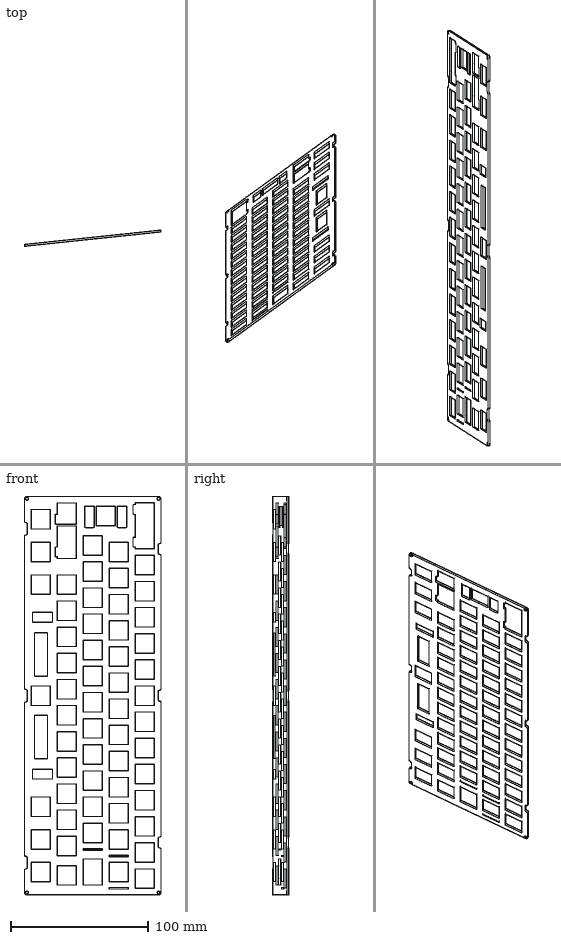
import cadquery as cq
import math

PLATE_WIDTH = 100.0
PLATE_LENGTH = 290.5
PLATE_THICKNESS = 1.5
TILT_ANGLE = 6.0
CORNER_RADIUS = 2.0
CORNER_HOLE_DIAMETER = 2.1
CORNER_HOLE_INSET = 1.75

KEY_PITCH = 19.05
SWITCH_SIZE = 14.0
HALF_SWITCH = SWITCH_SIZE / 2

NUMBER_ROW = 2 * KEY_PITCH
TAB_ROW = KEY_PITCH
HOME_ROW = 0.0
SHIFT_ROW = -KEY_PITCH
BOTTOM_ROW = -2 * KEY_PITCH

KEY_RUNS = [
    (NUMBER_ROW, -7.0, 13),
    (TAB_ROW, -5.5, 12),
    (HOME_ROW, -5.25, 12),
    (SHIFT_ROW, -5.75, 11),
]

TAB_KEY = -6.75
LEFT_SHIFT_KEY = -6.875
BOTTOM_KEYS = [-6.75, -5.5, -4.25, 0.0, 4.25, 5.5, 6.75]
CAPS_KEY = -6.625
STEPPED_CAPS_KEY = -6.875
BACKSPACE_KEY = 6.5
ENTER_KEY = 6.875
FUNCTION_KEY = 7.0
SHORT_SHIFT_KEY = 5.625
LONG_SHIFT_KEY = 6.125

STAB_OFFSET = 11.9
STAB_WIDTH = 7.0
STAB_REACH = 8.5
STAB_MARGIN = 1.3
STAB_RADIUS = 0.5
ENTER_STAB_RADIUS = 1.0

SPACE_STAB_OFFSET = 3 * KEY_PITCH
SPACE_STAB_START = -6.0
SPACE_STAB_END = 8.5
SPACE_WINDOW_START = -4.5
SPACE_WINDOW_END = 5.0
SPACE_WINDOW_INNER = 14.3
SPACE_WINDOW_OUTER = 45.8

SLOT_WIDTH = 0.9
TAB_SLOT_OFFSET = 11.8
CAPS_SLOT_Z = -112.1

NOTCH_DEPTH = 2.0
NOTCH_RADIUS = 1.0
LEFT_NOTCH_LENGTH = 9.0
LEFT_NOTCH_SPACING = 121.7
RIGHT_NOTCH_LENGTH = 7.8
RIGHT_NOTCH_SPACING = 107.0


def prism(x_start, x_end, z_start, z_end):
    """Block over a rectangle of the untilted plate, centred on its mid-plane."""
    return (
        cq.Workplane("XY")
        .box(x_end - x_start, PLATE_THICKNESS, z_end - z_start)
        .translate(((x_start + x_end) / 2, 0, (z_start + z_end) / 2))
    )


def key_opening(row, key):
    """Square switch opening at a key position counted in pitches."""
    z = key * KEY_PITCH
    return prism(row - HALF_SWITCH, row + HALF_SWITCH, z - HALF_SWITCH, z + HALF_SWITCH)


def stab_opening(row, z):
    """Stabilizer opening that reaches past the switch openings toward -X."""
    half = STAB_WIDTH / 2
    opening = prism(row - STAB_REACH, row + HALF_SWITCH, z - half, z + half)
    return opening.edges("|Y and <X").fillet(STAB_RADIUS)


def notched_plate():
    """Rounded rectangle with three notches in each long edge."""
    plate = prism(-PLATE_WIDTH / 2, PLATE_WIDTH / 2, -PLATE_LENGTH / 2, PLATE_LENGTH / 2)
    plate = plate.edges("|Y").fillet(CORNER_RADIUS)
    for side, length, spacing in (
        (-1, LEFT_NOTCH_LENGTH, LEFT_NOTCH_SPACING),
        (1, RIGHT_NOTCH_LENGTH, RIGHT_NOTCH_SPACING),
    ):
        for step in (-1, 0, 1):
            plate = plate.cut(edge_notch(side, length, step * spacing))
    return plate


def edge_notch(side, length, z):
    """Cutter for a notch whose floor and mouth corners are both rounded."""
    edge = side * PLATE_WIDTH / 2
    floor = edge - side * NOTCH_DEPTH
    half = length / 2
    mouth = half + NOTCH_RADIUS
    bend = edge - side * NOTCH_RADIUS
    diagonal = NOTCH_RADIUS * (1 - math.sqrt(0.5))
    return (
        cq.Workplane("XZ", origin=(0, PLATE_THICKNESS / 2, z))
        .moveTo(edge, -mouth)
        .threePointArc((edge - side * diagonal, -half - diagonal), (bend, -half))
        .threePointArc((floor + side * diagonal, -half + diagonal), (floor, -half + NOTCH_RADIUS))
        .lineTo(floor, half - NOTCH_RADIUS)
        .threePointArc((floor + side * diagonal, half - diagonal), (bend, half))
        .threePointArc((edge - side * diagonal, half + diagonal), (edge, mouth))
        .close()
        .extrude(PLATE_THICKNESS)
    )


def regular_key_openings():
    """All openings that hold a single switch."""
    openings = []
    for row, first, count in KEY_RUNS:
        for index in range(count):
            openings.append(key_opening(row, first + index))
    openings.append(key_opening(TAB_ROW, TAB_KEY))
    openings.append(key_opening(SHIFT_ROW, LEFT_SHIFT_KEY))
    for key in BOTTOM_KEYS:
        openings.append(key_opening(BOTTOM_ROW, key))
    return openings


def caps_openings():
    """Two overlapping switch positions for a plain or stepped caps key."""
    return [key_opening(HOME_ROW, CAPS_KEY), key_opening(HOME_ROW, STEPPED_CAPS_KEY)]


def backspace_openings():
    """Long opening joining the switch positions and two stabilizers."""
    centre = BACKSPACE_KEY * KEY_PITCH
    reach = STAB_OFFSET + STAB_WIDTH / 2 + STAB_MARGIN
    return [
        prism(NUMBER_ROW - HALF_SWITCH, NUMBER_ROW + HALF_SWITCH, centre - reach, centre + reach),
        stab_opening(NUMBER_ROW, centre - STAB_OFFSET),
        stab_opening(NUMBER_ROW, centre + STAB_OFFSET),
    ]


def right_shift_openings():
    """Two openings for a long shift key, or a short one beside a function key."""
    centre = LONG_SHIFT_KEY * KEY_PITCH
    short_start = SHORT_SHIFT_KEY * KEY_PITCH - HALF_SWITCH
    return [
        key_opening(SHIFT_ROW, FUNCTION_KEY),
        stab_opening(SHIFT_ROW, centre + STAB_OFFSET),
        prism(SHIFT_ROW - HALF_SWITCH, SHIFT_ROW + HALF_SWITCH, short_start, centre + HALF_SWITCH),
        stab_opening(SHIFT_ROW, centre - STAB_OFFSET),
    ]


def enter_openings():
    """Switch opening between two rows with a stabilizer on either side."""
    row = (HOME_ROW + TAB_ROW) / 2
    z = ENTER_KEY * KEY_PITCH
    half = STAB_WIDTH / 2
    openings = [key_opening(row, ENTER_KEY)]
    for side in (-1, 1):
        x = row + side * STAB_OFFSET
        opening = prism(x - half, x + half, z - STAB_REACH, z + HALF_SWITCH)
        openings.append(opening.edges("|Y and <Z").fillet(ENTER_STAB_RADIUS))
    return openings


def space_bar_openings():
    """Stabilizer openings and long windows on both sides of the space key."""
    half = STAB_WIDTH / 2
    middle = (SPACE_WINDOW_INNER + SPACE_WINDOW_OUTER) / 2
    half_window = (SPACE_WINDOW_OUTER - SPACE_WINDOW_INNER) / 2
    openings = []
    for side in (-1, 1):
        stab = side * SPACE_STAB_OFFSET
        window = side * middle
        openings.append(
            prism(BOTTOM_ROW + SPACE_STAB_START, BOTTOM_ROW + SPACE_STAB_END, stab - half, stab + half)
        )
        openings.append(
            prism(
                BOTTOM_ROW + SPACE_WINDOW_START,
                BOTTOM_ROW + SPACE_WINDOW_END,
                window - half_window,
                window + half_window,
            )
        )
    return openings


def narrow_slots():
    """One slot beside the caps key and one on each side of the tab key."""
    tab_centre = TAB_KEY * KEY_PITCH
    places = [
        (HOME_ROW, CAPS_SLOT_Z),
        (TAB_ROW, tab_centre - TAB_SLOT_OFFSET),
        (TAB_ROW, tab_centre + TAB_SLOT_OFFSET),
    ]
    half = SLOT_WIDTH / 2
    return [prism(row - HALF_SWITCH, row + HALF_SWITCH, z - half, z + half) for row, z in places]


def corner_holes():
    """A small round hole in each corner of the plate."""
    span_x = PLATE_WIDTH - 2 * CORNER_HOLE_INSET
    span_z = PLATE_LENGTH - 2 * CORNER_HOLE_INSET
    return [
        cq.Workplane("XZ", origin=(0, PLATE_THICKNESS / 2, 0))
        .rect(span_x, span_z, forConstruction=True)
        .vertices()
        .circle(CORNER_HOLE_DIAMETER / 2)
        .extrude(PLATE_THICKNESS)
    ]


openings = (
    regular_key_openings()
    + caps_openings()
    + backspace_openings()
    + right_shift_openings()
    + enter_openings()
    + space_bar_openings()
    + narrow_slots()
    + corner_holes()
)

cutters = [solid for opening in openings for solid in opening.vals()]
flat_plate = notched_plate().val().cut(*cutters)

result = cq.Workplane(flat_plate).rotate((0, 0, 0), (0, 0, 1), TILT_ANGLE)